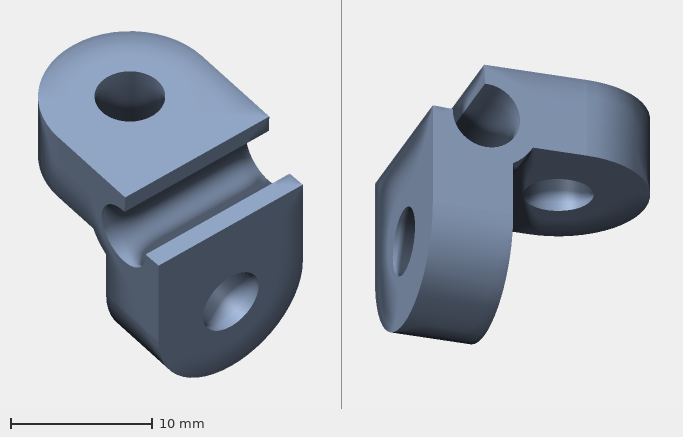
import cadquery as cq
import math

side_length = 18.0
width = 13.0
ear_thickness = 6.0
hole_diameter = 5.0
bore_inset = 4.0
lip_angle = 2.5

far_end = bore_inset - side_length
ear_inner = bore_inset - ear_thickness
hole_center = far_end + width / 2
seam = -bore_inset
wall_radius = bore_inset
lip_offset = bore_inset * math.tan(math.radians(lip_angle))


def make_ear():
    """Flat ear pointing to -X, with a round end and a vertical hole."""
    ear = (
        cq.Workplane("XY", origin=(0, 0, ear_inner))
        .moveTo(seam, -width / 2)
        .lineTo(hole_center, -width / 2)
        .threePointArc((far_end, 0), (hole_center, width / 2))
        .lineTo(seam, width / 2)
        .close()
        .extrude(ear_thickness)
    )
    hole = (
        cq.Workplane("XY", origin=(hole_center, 0, ear_inner))
        .circle(hole_diameter / 2)
        .extrude(ear_thickness)
    )
    return ear.cut(hole)


def profile_plane():
    """XZ workplane at the +Y face; extruding by the width reaches the -Y face."""
    return cq.Workplane("XZ", origin=(0, width / 2, 0))


def make_holder_block():
    """Corner block around the cross bore, open at its outer corner."""
    corner = (
        profile_plane()
        .moveTo(seam, ear_inner)
        .lineTo(seam, bore_inset)
        .lineTo(bore_inset, bore_inset)
        .lineTo(bore_inset, seam)
        .lineTo(ear_inner, seam)
        .lineTo(ear_inner, ear_inner)
        .close()
        .extrude(width)
    )
    round_wall = profile_plane().circle(wall_radius).extrude(width)
    bore = profile_plane().circle(hole_diameter / 2).extrude(width)
    mouth = (
        profile_plane()
        .lineTo(lip_offset, bore_inset)
        .lineTo(bore_inset, bore_inset)
        .lineTo(bore_inset, lip_offset)
        .close()
        .extrude(width)
    )
    return corner.union(round_wall).cut(bore).cut(mouth)


def make_holder():
    """Corner block in one piece with the hanging ear, keeping the edge where they meet."""
    hanging_ear = make_ear().rotate((0, 0, 0), (1, 0, 1), 180)
    return make_holder_block().union(hanging_ear, clean=False)


def place(body):
    """Move a body so that the part is centered on the origin."""
    shift = side_length / 2 - bore_inset
    return body.translate((shift, 0, shift))


ear = place(make_ear())
holder = place(make_holder())

result = cq.Compound.makeCompound([ear.val(), *holder.solids().vals()])